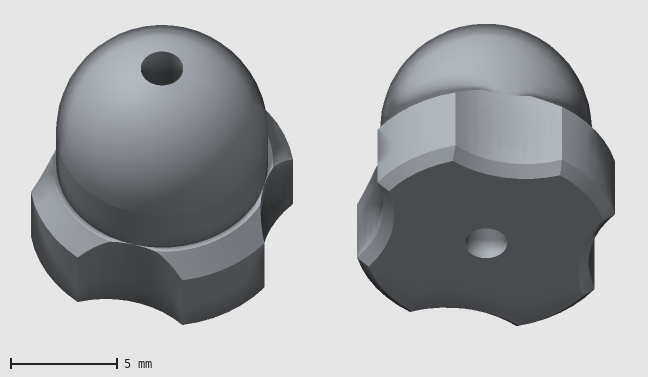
import cadquery as cq
import math

total_height = 12.4
dome_radius = 5.0
hole_diameter = 2.0
collar_radius = 6.25
collar_height = 5.0
top_rim_radius = 5.25
top_bevel_height = 1.0
bottom_chamfer = 0.5
scallop_count = 4

hole_radius = hole_diameter / 2
dome_center_height = total_height - math.sqrt(dome_radius**2 - hole_radius**2)

scallop_radius = dome_radius
scallop_offset = dome_radius + scallop_radius


def make_collar():
    """Turned collar with a bevel around its top."""
    profile = [
        (0, 0),
        (collar_radius, 0),
        (collar_radius, collar_height - top_bevel_height),
        (top_rim_radius, collar_height),
        (0, collar_height),
    ]
    return cq.Workplane("XZ").polyline(profile).close().revolve(360, (0, 0), (0, 1))


def make_scallops():
    """Upright cylinders spaced evenly around the collar."""
    return (
        cq.Workplane("XY")
        .polarArray(scallop_offset, 0, 360, scallop_count)
        .circle(scallop_radius)
        .extrude(collar_height)
    )


def make_grip():
    """Scalloped collar, chamfered along its whole bottom outline."""
    scalloped = make_collar().cut(make_scallops())
    return scalloped.faces("<Z").edges().chamfer(bottom_chamfer)


def make_dome():
    """Cylinder on top of the collar, closed by a hemisphere."""
    crown_height = dome_center_height + dome_radius
    shoulder_reach = dome_radius * math.sqrt(0.5)
    return (
        cq.Workplane("XZ")
        .moveTo(0, collar_height)
        .lineTo(dome_radius, collar_height)
        .lineTo(dome_radius, dome_center_height)
        .threePointArc((shoulder_reach, dome_center_height + shoulder_reach), (0, crown_height))
        .close()
        .revolve(360, (0, 0), (0, 1))
    )


def make_hole():
    """Axial hole through the whole part."""
    return cq.Workplane("XY").circle(hole_radius).extrude(dome_center_height + dome_radius)


result = make_grip().union(make_dome()).cut(make_hole())